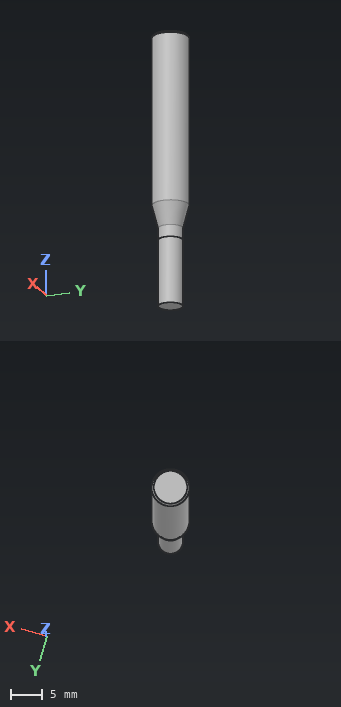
import cadquery as cq

total_length = 45.0
shank_diameter = 6.0
tip_diameter = 4.0
tip_length = 11.0
neck_length = 2.02
taper_length = 3.8
chamfer_size = 0.35

shank_radius = shank_diameter / 2
tip_radius = tip_diameter / 2
bottom_z = -total_length / 2
top_z = bottom_z + total_length
joint_z = bottom_z + tip_length
neck_top_z = joint_z + neck_length
taper_top_z = neck_top_z + taper_length


def make_holder():
    """Turned body: neck, conical taper and cylindrical shank with a chamfered top."""
    half_profile = (
        cq.Workplane("XZ")
        .moveTo(0, joint_z)
        .lineTo(tip_radius, joint_z)
        .lineTo(tip_radius, neck_top_z)
        .lineTo(shank_radius, taper_top_z)
        .lineTo(shank_radius, top_z - chamfer_size)
        .lineTo(shank_radius - chamfer_size, top_z)
        .lineTo(0, top_z)
        .close()
    )
    return half_profile.revolve(360, (0, 0, 0), (0, 1, 0))


def make_cutting_tip():
    """Plain cylinder that meets the neck face to face."""
    return cq.Workplane("XY", origin=(0, 0, bottom_z)).circle(tip_radius).extrude(tip_length)


holder = make_holder()
cutting_tip = make_cutting_tip()

result = cq.Compound.makeCompound([holder.val(), cutting_tip.val()])